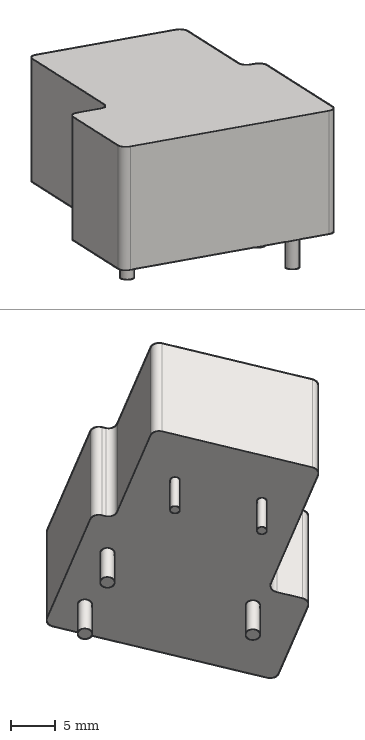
import cadquery as cq

LENGTH = 31.65
WIDTH = 27.1
HEIGHT = 14.6
BACK_STEP_X = 14.05
BACK_STEP_DEPTH = 2.5
FRONT_STEP_X = 19.05
FRONT_STEP_DEPTH = 5.0
CORNER_RADIUS = 1.0

PIN_LENGTH = 4.8
COIL_PIN_DIAMETER = 1.1
CONTACT_PIN_DIAMETER = 1.6

BACK_COIL_Y = 19.9
COIL_SPACING = 10.15
FRONT_COIL_Y = BACK_COIL_Y - COIL_SPACING
BACK_CONTACT_Y = 23.7
CONTACT_ROW_SPACING = 17.82
FRONT_CONTACT_Y = BACK_CONTACT_Y - CONTACT_ROW_SPACING

COIL_X = 6.62
NEAR_CONTACT_X = 19.3
MIDDLE_CONTACT_X = 21.8
FAR_CONTACT_X = 27.45

COIL_PINS = [(COIL_X, BACK_COIL_Y), (COIL_X, FRONT_COIL_Y)]
CONTACT_PINS = [
    (NEAR_CONTACT_X, BACK_CONTACT_Y),
    (MIDDLE_CONTACT_X, FRONT_CONTACT_Y),
    (FAR_CONTACT_X, BACK_CONTACT_Y),
]


def make_housing():
    """Prism with its underside at Z = 0 and its front left corner at the origin."""
    block_back_y = WIDTH - BACK_STEP_DEPTH
    outline = [
        (0, FRONT_STEP_DEPTH),
        (FRONT_STEP_X, FRONT_STEP_DEPTH),
        (FRONT_STEP_X, 0),
        (LENGTH, 0),
        (LENGTH, WIDTH),
        (BACK_STEP_X, WIDTH),
        (BACK_STEP_X, block_back_y),
        (0, block_back_y),
    ]
    prism = cq.Workplane("XY").polyline(outline).close().extrude(HEIGHT)
    return prism.edges("|Z").fillet(CORNER_RADIUS)


def make_pin(center, diameter):
    """Round pin whose flat top touches the underside of the housing."""
    return cq.Workplane("XY").center(*center).circle(diameter / 2).extrude(-PIN_LENGTH)


housing = make_housing()
coil_pins = [make_pin(center, COIL_PIN_DIAMETER) for center in COIL_PINS]
contact_pins = [make_pin(center, CONTACT_PIN_DIAMETER) for center in CONTACT_PINS]

bodies = [housing, *coil_pins, *contact_pins]
result = cq.Compound.makeCompound([body.val() for body in bodies])